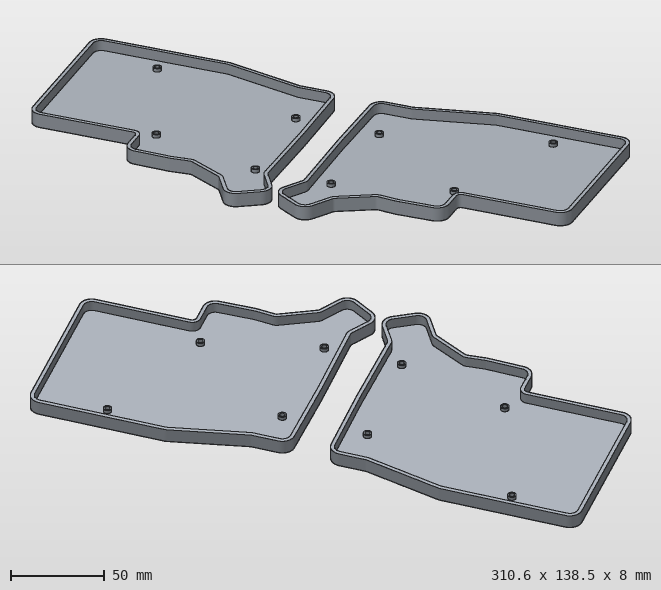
import cadquery as cq
import math


total_width = 310.65
total_depth = 138.51
case_height = 8.0

wall = 2.2
floor = 2.0
convex_radius = 6.875
concave_radius = convex_radius - 2 * wall

left_x = -total_width / 2
back_y = total_depth / 2
front_y = -total_depth / 2
step_y = -24.1
step_x = -92.5
step_front_y = -43.8
front_bend = (-65.2, -44.5)
front_kink_x = -53.5
slope_start_x = -77.1
slope_end_x = -32.5
inner_back_y = 58.8
inner_x = -10.4
inner_bulge = (-9.8, 9.0)

tip_angle = math.radians(31.75)
thumb_slope = math.radians(27.8)
tip_x = -2.35
tip_front_round_x = -19.95
thumb_corner_x = -33.15

standoff_diameter = 4.5
screw_diameter = 2.8
standoff_height = 2.0
standoff_places = [(-114.0, 57.1), (-24.0, 32.2), (-85.8, -13.3), (-21.8, -30.3)]


def thumb_corners():
    """Sharp corners of the thumb arm, from its root on the inner side round to the front kink."""
    sine = math.sin(tip_angle)
    cosine = math.cos(tip_angle)
    front_centre_y = front_y + convex_radius
    inner_centre_x = tip_x - convex_radius
    inner_centre_y = front_centre_y + (inner_centre_x - tip_front_round_x) * math.tan(tip_angle)
    inner_corner = (
        inner_centre_x + convex_radius * (cosine + sine),
        inner_centre_y - convex_radius * (cosine - sine),
    )
    front_corner = (
        tip_front_round_x - convex_radius * (cosine - sine),
        front_centre_y - convex_radius * (cosine + sine),
    )
    root = (inner_x, inner_corner[1] + (inner_corner[0] - inner_x) / math.tan(tip_angle))
    thumb_corner_y = front_corner[1] + (front_corner[0] - thumb_corner_x) / math.tan(tip_angle)
    kink_y = thumb_corner_y + (thumb_corner_x - front_kink_x) * math.tan(thumb_slope)
    return root, inner_corner, front_corner, (thumb_corner_x, thumb_corner_y), (front_kink_x, kink_y)


def round_corners(body, corners, radius):
    """Round the upright edges that stand on the given plan corners."""
    for x, y in corners:
        edge_middle = (x, y, case_height / 2)
        body = body.edges("|Z").edges(cq.NearestToPointSelector(edge_middle)).fillet(radius)
    return body


def tray_block():
    """Solid block with the outer shape of the left tray."""
    root, tip_inner, tip_front, thumb_corner, front_kink = thumb_corners()
    back_left = (left_x, back_y)
    slope_start = (slope_start_x, back_y)
    slope_end = (slope_end_x, inner_back_y)
    back_inner = (inner_x, inner_back_y)
    step_front = (step_x, step_front_y)
    step_inside = (step_x, step_y)
    front_left = (left_x, step_y)
    outline = [
        back_left, slope_start, slope_end, back_inner, inner_bulge, root, tip_inner, tip_front,
        thumb_corner, front_kink, front_bend, step_front, step_inside, front_left,
    ]
    block = cq.Workplane("XY").polyline(outline).close().extrude(case_height)
    convex = [back_left, slope_start, back_inner, tip_inner, tip_front, step_front, front_left]
    concave = [slope_end, root, thumb_corner, front_kink, step_inside]
    block = round_corners(block, convex, convex_radius)
    return round_corners(block, concave, concave_radius)


def make_tray():
    """Left tray: open shell with four hollow standoffs whose screw holes pass through the floor."""
    block = tray_block()
    cavity = (
        cq.Workplane("XY").add(block.faces("<Z").wires().vals()).toPending()
        .offset2D(-wall).extrude(case_height)
        .translate((0, 0, floor))
    )
    standoffs = (
        cq.Workplane("XY").pushPoints(standoff_places)
        .circle(standoff_diameter / 2).extrude(floor + standoff_height)
    )
    screw_holes = (
        cq.Workplane("XY").pushPoints(standoff_places)
        .circle(screw_diameter / 2).extrude(case_height)
    )
    return block.cut(cavity).union(standoffs).cut(screw_holes)


left_tray = make_tray()
right_tray = left_tray.mirror("YZ")

result = cq.Compound.makeCompound([left_tray.val(), right_tray.val()])